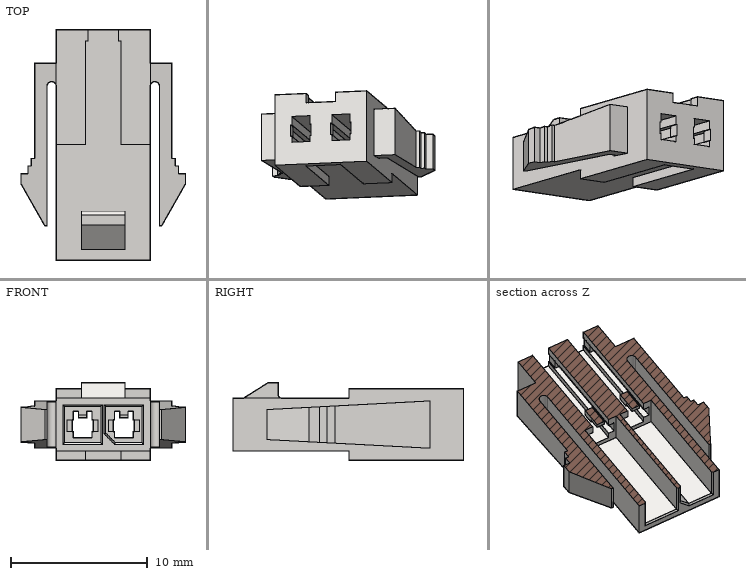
import cadquery as cq
import math

LENGTH = 16.9
OVERALL_WIDTH = 12.05

HOUSING_WIDTH = 6.9
REAR_HEIGHT = 5.25
NOSE_BOTTOM = 0.68
NOSE_TOP = 4.56
STEP_Y = 8.5
MID_Z = (NOSE_BOTTOM + NOSE_TOP) / 2

GROOVE_WIDTH = 2.6
GROOVE_NECK_WIDTH = 2.2
END_WALL = 0.83
GROOVE_END_Y = LENGTH - END_WALL

LATCH_WIDTH = 3.21
LATCH_TOP = 5.7
LATCH_FRONT_Y = 0.8
LATCH_CREST_Y = 2.59
LATCH_BACK_Y = 3.33
LATCH_ROOT_RADIUS = 0.25

ARM_ROOT_Y = 14.45
ARM_TIP_Y = 2.52
ARM_ROOT_HEIGHT = 3.46
ARM_TIP_HEIGHT = 2.2
ARM_INNER_X = 4.1
ARM_OUTER_X = 5.02
ARM_TIP_X = 4.28
BARB_X = OVERALL_WIDTH / 2
BARB_FRONT_Y = 5.6
BARB_BACK_Y = 6.35
TOOTH_WIDTH = 0.25
TOOTH_LENGTH = 0.55
GAP_END_Y = 13.08

PITCH = 3.0
CAVITY_SIZE = 2.65
CAVITY_DEPTH = STEP_Y
CAVITY_LEAD_IN = 0.12
KEY_CUT = 0.71

PASSAGE_WIDTH = 1.35
PASSAGE_BOTTOM = 1.65
PASSAGE_TOP = 3.58
WING_BOTTOM = 2.11
WING_TOP = 2.95
WING_FRONT_WIDTH = 2.26
WING_REAR_WIDTH = 1.52
TAB_WIDTH = 0.63
TAB_STEP_Z = 3.31
TAB_BOTTOM = 3.11
TAB_LENGTH = 1.69
TAB_STEP_LENGTH = 0.85


def block(width, y_range, z_range, center_x=0.0):
    """Box centred on center_x and spanning the given Y and Z ranges."""
    y0, y1 = y_range
    z0, z1 = z_range
    return (
        cq.Workplane("XY")
        .box(width, y1 - y0, z1 - z0, centered=(True, False, False))
        .translate((center_x, y0, z0))
    )


def make_housing():
    """Thin nose and thick grooved rear section."""
    nose = block(HOUSING_WIDTH, (0, STEP_Y), (NOSE_BOTTOM, NOSE_TOP))
    rear = block(HOUSING_WIDTH, (STEP_Y, LENGTH), (0, REAR_HEIGHT))
    top_groove = block(GROOVE_WIDTH, (STEP_Y, GROOVE_END_Y), (NOSE_TOP, REAR_HEIGHT))
    top_neck = block(GROOVE_NECK_WIDTH, (GROOVE_END_Y, LENGTH), (NOSE_TOP, REAR_HEIGHT))
    bottom_groove = block(GROOVE_WIDTH, (STEP_Y, GROOVE_END_Y), (0, NOSE_BOTTOM))
    return nose.union(rear).cut(top_groove).cut(top_neck).cut(bottom_groove)


def make_latch():
    """Ramp rising from the mating end, with a rounded root behind its catch face."""
    root = LATCH_ROOT_RADIUS
    return (
        cq.Workplane("YZ")
        .moveTo(LATCH_FRONT_Y, NOSE_TOP)
        .lineTo(LATCH_CREST_Y, LATCH_TOP)
        .lineTo(LATCH_BACK_Y, LATCH_TOP)
        .lineTo(LATCH_BACK_Y, NOSE_TOP + root)
        .radiusArc((LATCH_BACK_Y + root, NOSE_TOP), -root)
        .close()
        .extrude(LATCH_WIDTH / 2, both=True)
    )


def make_arm():
    """Spring arm on the +X side: plan outline trimmed to a height that tapers to the tip."""
    wall_x = HOUSING_WIDTH / 2
    gap_radius = (ARM_INNER_X - wall_x) / 2
    tooth_x = ARM_OUTER_X + TOOTH_WIDTH
    plan = (
        cq.Workplane("XY")
        .moveTo(wall_x, ARM_ROOT_Y)
        .lineTo(ARM_OUTER_X, ARM_ROOT_Y)
        .lineTo(ARM_OUTER_X, BARB_BACK_Y + 2 * TOOTH_LENGTH)
        .lineTo(tooth_x, BARB_BACK_Y + 2 * TOOTH_LENGTH)
        .lineTo(tooth_x, BARB_BACK_Y + TOOTH_LENGTH)
        .lineTo(tooth_x + TOOTH_WIDTH, BARB_BACK_Y + TOOTH_LENGTH)
        .lineTo(tooth_x + TOOTH_WIDTH, BARB_BACK_Y)
        .lineTo(BARB_X, BARB_BACK_Y)
        .lineTo(BARB_X, BARB_FRONT_Y)
        .lineTo(ARM_TIP_X, ARM_TIP_Y)
        .lineTo(ARM_INNER_X, ARM_TIP_Y)
        .lineTo(ARM_INNER_X, GAP_END_Y - gap_radius)
        .threePointArc((wall_x + gap_radius, GAP_END_Y), (wall_x, GAP_END_Y - gap_radius))
        .close()
        .extrude(REAR_HEIGHT)
    )
    taper = (
        cq.Workplane("YZ")
        .polyline([
            (ARM_ROOT_Y, MID_Z - ARM_ROOT_HEIGHT / 2),
            (ARM_ROOT_Y, MID_Z + ARM_ROOT_HEIGHT / 2),
            (ARM_TIP_Y, MID_Z + ARM_TIP_HEIGHT / 2),
            (ARM_TIP_Y, MID_Z - ARM_TIP_HEIGHT / 2),
        ])
        .close()
        .extrude(BARB_X)
    )
    return plan.intersect(taper)


def cavity_section(size, corner_cut):
    """Square outline of the given size in the XZ plane, its lower -X corner cut off if asked."""
    half = size / 2
    points = [(half, -half), (half, half), (-half, half)]
    if corner_cut:
        points += [(-half, corner_cut - half), (corner_cut - half, -half)]
    else:
        points.append((-half, -half))
    return points


def make_cavity(center_x, keyed):
    """Square contact cavity with a chamfered mouth; a keyed one has one corner cut off."""
    corner_cut = KEY_CUT if keyed else 0
    plane = cq.Workplane("XZ", origin=(center_x, 0, MID_Z))
    cavity = plane.polyline(cavity_section(CAVITY_SIZE, corner_cut)).close().extrude(-CAVITY_DEPTH)
    mouth_cut = corner_cut + (2 - math.sqrt(2)) * CAVITY_LEAD_IN if keyed else 0
    mouth_size = CAVITY_SIZE + 2 * CAVITY_LEAD_IN
    mouth = (
        plane.polyline(cavity_section(mouth_size, mouth_cut)).close()
        .workplane(offset=-CAVITY_LEAD_IN)
        .polyline(cavity_section(CAVITY_SIZE, corner_cut)).close()
        .loft(ruled=True)
    )
    return cavity.union(mouth)


def make_passage(center_x):
    """Terminal passage with side wings and a stepped locking tab hanging from its roof."""
    y_range = (CAVITY_DEPTH, LENGTH)
    wing_z = (WING_BOTTOM, WING_TOP)
    passage = block(PASSAGE_WIDTH, y_range, (PASSAGE_BOTTOM, PASSAGE_TOP), center_x)
    rear_wings = block(WING_REAR_WIDTH, y_range, wing_z, center_x)
    front_wings = block(WING_FRONT_WIDTH, (CAVITY_DEPTH, GROOVE_END_Y), wing_z, center_x)
    tab_end_y = CAVITY_DEPTH + TAB_LENGTH
    tab = block(TAB_WIDTH, (CAVITY_DEPTH, tab_end_y), (TAB_STEP_Z, PASSAGE_TOP), center_x)
    tab_lip = block(
        TAB_WIDTH, (tab_end_y - TAB_STEP_LENGTH, tab_end_y), (TAB_BOTTOM, TAB_STEP_Z), center_x
    )
    return passage.union(rear_wings).union(front_wings).cut(tab).cut(tab_lip)


arm = make_arm()
result = make_housing().union(make_latch()).union(arm).union(arm.mirror("YZ"))
for side in (-1, 1):
    cell_x = side * PITCH / 2
    result = result.cut(make_cavity(cell_x, keyed=side > 0)).cut(make_passage(cell_x))